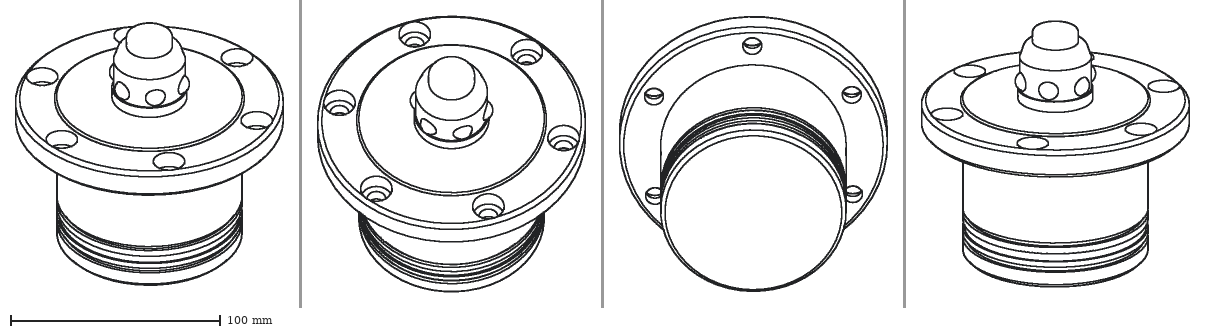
import cadquery as cq
import math

body_radius = 44.3
body_chamfer = 2.0

flange_radius = 64.0
flange_bottom_z = 65.0
flange_thickness = 14.0
flange_chamfer = 2.0
flange_top_z = flange_bottom_z + flange_thickness
hub_radius = 45.3
hub_height = 1.2
hub_chamfer = 1.0
hub_top_z = flange_top_z + hub_height

seal_depth = 1.7
guide_depth = 0.9
grooves = [
    (8.5, 2.5, seal_depth),
    (13.8, 4.1, guide_depth),
    (21.2, 2.3, seal_depth),
]

feature_count = 6
first_angle = 90
hole_circle_radius = 54.5
hole_diameter = 9.0
counterbore_diameter = 15.0
counterbore_depth = 8.0

collar_radius = 17.9
collar_height = 5.4
barrel_radius = 17.2
barrel_height = 15.9
taper_angle = math.radians(18)
shoulder_height = 8.0
shoulder_fillet = 4.5
tip_radius = 11.0
tip_height = 6.5
tip_fillet = 1.9
collar_top_z = hub_top_z + collar_height
barrel_top_z = collar_top_z + barrel_height
shoulder_top_z = barrel_top_z + shoulder_height

ball_radius = 5.0
ball_circle_radius = 15.0
ball_z = 90.8


def cylinder(radius, bottom_z, height):
    return cq.Workplane("XY").workplane(offset=bottom_z).circle(radius).extrude(height)


def ring_points(radius):
    """Evenly spaced (x, y) points on a circle about the axis."""
    angles = [math.radians(first_angle + i * 360 / feature_count) for i in range(feature_count)]
    return [(radius * math.cos(a), radius * math.sin(a)) for a in angles]


def make_body():
    body = cylinder(body_radius, 0, flange_bottom_z).faces("<Z").chamfer(body_chamfer)
    for bottom_z, width, depth in grooves:
        core = cylinder(body_radius - depth, bottom_z, width)
        body = body.cut(cylinder(flange_radius, bottom_z, width).cut(core))
    return body


def make_flange():
    flange = cylinder(flange_radius, flange_bottom_z, flange_thickness).edges().chamfer(flange_chamfer)
    hub = cylinder(hub_radius, flange_top_z, hub_height).faces(">Z").chamfer(hub_chamfer)
    holes = (
        cq.Workplane("XY")
        .workplane(offset=flange_bottom_z)
        .pushPoints(ring_points(hole_circle_radius))
        .circle(hole_diameter / 2)
        .extrude(flange_thickness)
    )
    counterbores = (
        cq.Workplane("XY")
        .workplane(offset=flange_top_z - counterbore_depth)
        .pushPoints(ring_points(hole_circle_radius))
        .circle(counterbore_diameter / 2)
        .extrude(counterbore_depth)
    )
    return flange.union(hub).cut(holes).cut(counterbores)


def make_shoulder():
    """Cone whose upper edge is blended into a flat top by a tangent arc."""
    arc_center_z = shoulder_top_z - shoulder_fillet
    cone_top_z = arc_center_z + shoulder_fillet * math.sin(taper_angle)
    cone_top_radius = barrel_radius - (cone_top_z - barrel_top_z) * math.tan(taper_angle)
    arc_center_radius = cone_top_radius - shoulder_fillet * math.cos(taper_angle)
    mid_angle = (taper_angle + math.pi / 2) / 2
    arc_middle = (
        arc_center_radius + shoulder_fillet * math.cos(mid_angle),
        arc_center_z + shoulder_fillet * math.sin(mid_angle),
    )
    return (
        cq.Workplane("XZ")
        .moveTo(0, barrel_top_z)
        .lineTo(barrel_radius, barrel_top_z)
        .lineTo(cone_top_radius, cone_top_z)
        .threePointArc(arc_middle, (arc_center_radius, shoulder_top_z))
        .lineTo(0, shoulder_top_z)
        .close()
        .revolve(360, (0, 0, 0), (0, 1, 0))
    )


def make_stud():
    collar = cylinder(collar_radius, hub_top_z, collar_height)
    barrel = cylinder(barrel_radius, collar_top_z, barrel_height)
    tip = cylinder(tip_radius, shoulder_top_z, tip_height).faces(">Z").edges().fillet(tip_fillet)
    balls = (
        cq.Workplane("XY")
        .workplane(offset=ball_z)
        .pushPoints(ring_points(ball_circle_radius))
        .sphere(ball_radius)
    )
    return collar.union(barrel).union(make_shoulder()).union(tip).union(balls)


result = make_body().union(make_flange()).union(make_stud())